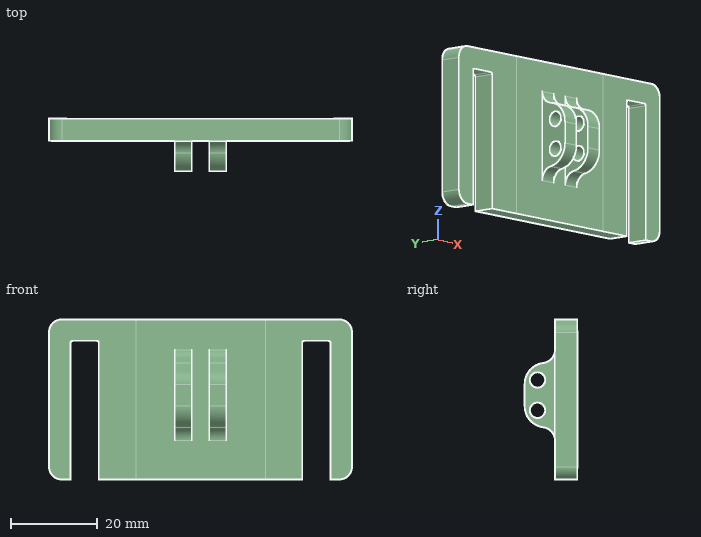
import cadquery as cq
import math

plate_length = 70.0
plate_height = 37.0
plate_thickness = 5.2
corner_radius = 3.0
middle_half_length = 15.0
wing_tilt_degrees = 0.1

arm_width = 5.0
slot_width = 6.5
slot_corner_radius = 0.4

lug_projection = 7.0
lug_thickness = 4.0
lug_gap = 4.0
lug_center_z = 1.0
lug_flat_half_height = 2.5
lug_nose_radius = 5.0
lug_root_radius = 3.0
pin_hole_diameter = 3.5
pin_hole_pitch = 7.0
pin_hole_offset = 4.0

half_length = plate_length / 2
half_height = plate_height / 2
wing_slope = math.tan(math.radians(wing_tilt_degrees))
wing_setback = (half_length - middle_half_length) * wing_slope


def make_plate():
    """Bent strip extruded along Z, with rounded outer corners."""
    back_y = plate_thickness

    back_half_length = half_length - plate_thickness * wing_slope
    strip = (
        cq.Workplane("XY")
        .workplane(offset=-half_height)
        .moveTo(-half_length, wing_setback)
        .lineTo(-middle_half_length, 0)
        .lineTo(middle_half_length, 0)
        .lineTo(half_length, wing_setback)
        .lineTo(back_half_length, back_y + wing_setback)
        .lineTo(middle_half_length, back_y)
        .lineTo(-middle_half_length, back_y)
        .lineTo(-back_half_length, back_y + wing_setback)
        .close()
        .extrude(plate_height)
    )
    end_corners = strip.faces("<X or >X").edges("not |Z")
    return end_corners.fillet(corner_radius)


def make_slot(side):
    """Cutter for one strap slot; side is -1 (left) or +1 (right)."""
    slot_height = plate_height - arm_width
    slot_center_x = side * (half_length - arm_width - slot_width / 2)
    cutter_depth = 4 * plate_thickness
    return (
        cq.Workplane("XY")
        .box(slot_width, cutter_depth, slot_height)
        .edges("|Y and >Z")
        .fillet(slot_corner_radius)
        .translate((slot_center_x, 0, -arm_width / 2))
    )


def make_lug(start_x):
    """One lug: flat nose, convex shoulders and concave roots tangent to the plate."""
    nose_out = lug_projection - lug_nose_radius
    nose_up = lug_flat_half_height
    center_distance = lug_nose_radius + lug_root_radius
    root_out = lug_root_radius
    root_rise = math.sqrt(center_distance**2 - (root_out - nose_out) ** 2)
    root_up = nose_up + root_rise

    join_angle = math.atan2(root_rise, root_out - nose_out)
    join_out = nose_out + lug_nose_radius * math.cos(join_angle)
    join_up = nose_up + lug_nose_radius * math.sin(join_angle)
    half_angle = join_angle / 2
    nose_mid_out = nose_out + lug_nose_radius * math.cos(half_angle)
    nose_mid_up = nose_up + lug_nose_radius * math.sin(half_angle)
    root_mid_out = root_out - lug_root_radius * math.cos(half_angle)
    root_mid_up = root_up - lug_root_radius * math.sin(half_angle)

    def at(out, up):
        """Sketch point (Y, Z) at a distance out from the plate and up from the lug centre."""
        return (-out, lug_center_z + up)

    sunk = -plate_thickness / 2
    body = (
        cq.Workplane("YZ")
        .workplane(offset=start_x)
        .moveTo(*at(sunk, root_up))
        .lineTo(*at(0, root_up))
        .threePointArc(at(root_mid_out, root_mid_up), at(join_out, join_up))
        .threePointArc(at(nose_mid_out, nose_mid_up), at(lug_projection, nose_up))
        .lineTo(*at(lug_projection, -nose_up))
        .threePointArc(at(nose_mid_out, -nose_mid_up), at(join_out, -join_up))
        .threePointArc(at(root_mid_out, -root_mid_up), at(0, -root_up))
        .lineTo(*at(sunk, -root_up))
        .close()
        .extrude(lug_thickness)
    )
    hole_centers = [at(pin_hole_offset, side * pin_hole_pitch / 2) for side in (-1, 1)]
    pin_holes = (
        cq.Workplane("YZ")
        .workplane(offset=start_x)
        .pushPoints(hole_centers)
        .circle(pin_hole_diameter / 2)
        .extrude(lug_thickness)
    )
    return body.cut(pin_holes)


result = make_plate()
for side in (-1, 1):
    result = result.cut(make_slot(side))
for start_x in (-lug_gap / 2 - lug_thickness, lug_gap / 2):
    result = result.union(make_lug(start_x))